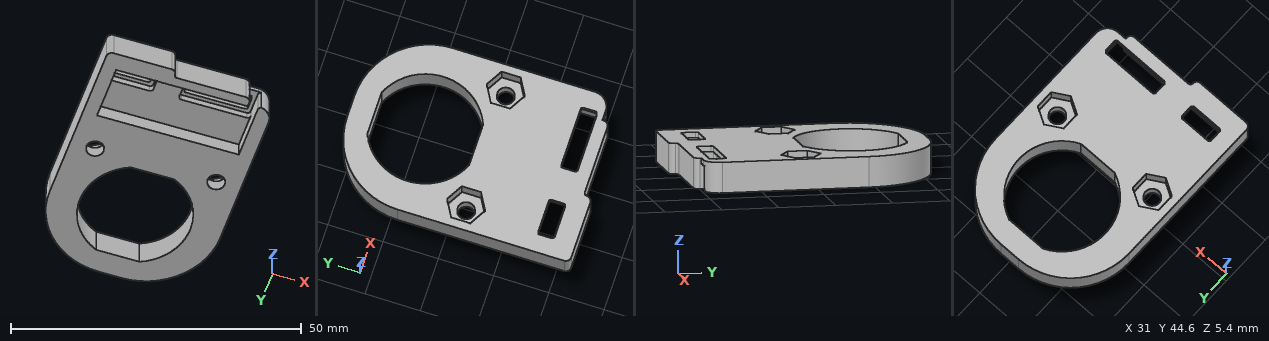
import cadquery as cq

width = 31.0
length = 44.65
height = 5.4
skin = 1.0
middle_x = width / 2

crown_radius = 13.5
front_corner_radius = 1.0
foot_right = 12.5
step_depth = 1.47
step_inner_radius = step_depth - front_corner_radius
step_right = 26.48
notch_depth = 2.7
right_corner_radius = 2.75

bore_diameter = 20.0
bore_flat_distance = 18.4
bore_y = length - crown_radius

nut_spacing = 22.0
nut_y = 20.2
nut_across_flats = 6.0
nut_depth = 3.0
screw_diameter = 3.1

slot_front = 3.95
slot_back = 6.88
slot_spans = [(3.25, 9.9), (16.07, 27.6)]
slot_corner_radius = 0.4
pocket_margin = 0.7
pocket_corner_radius = 0.55
hollow_ceiling = height - 2.4
hollow_back = 13.4
hollow_left = slot_spans[0][0] - pocket_margin
hollow_right = slot_spans[1][1] + pocket_margin
hollow_front = slot_front - pocket_margin
gate_corner_radius = 0.7


def block(left, right, front, back, bottom, top):
    """Box given by its limits along each axis."""
    return cq.Workplane("XY").box(right - left, back - front, top - bottom, centered=False).translate(
        (left, front, bottom)
    )


def rounded_block(limits, radius):
    return block(*limits).edges("|Z").fillet(radius)


def make_plate():
    """Domed plate with a stepped front edge."""
    return (
        cq.Workplane("XY")
        .moveTo(front_corner_radius, 0)
        .lineTo(foot_right - front_corner_radius, 0)
        .radiusArc((foot_right, front_corner_radius), -front_corner_radius)
        .radiusArc((foot_right + step_inner_radius, step_depth), step_inner_radius)
        .lineTo(step_right - front_corner_radius, step_depth)
        .radiusArc((step_right, step_depth + front_corner_radius), -front_corner_radius)
        .lineTo(step_right, notch_depth)
        .lineTo(width - right_corner_radius, notch_depth)
        .radiusArc((width, notch_depth + right_corner_radius), -right_corner_radius)
        .lineTo(width, bore_y)
        .radiusArc((width - crown_radius, length), -crown_radius)
        .lineTo(crown_radius, length)
        .radiusArc((0, bore_y), -crown_radius)
        .lineTo(0, front_corner_radius)
        .radiusArc((front_corner_radius, 0), -front_corner_radius)
        .close()
        .extrude(height)
    )


def make_bore():
    cylinder = cq.Workplane("XY").circle(bore_diameter / 2).extrude(height)
    flats = cq.Workplane("XY").rect(bore_diameter, bore_flat_distance).extrude(height)
    return cylinder.intersect(flats).translate((middle_x, bore_y, 0))


def make_nut_seat(x):
    """Hexagonal recess, two flats facing X, with a screw hole below."""
    hole = cq.Workplane("XY").circle(screw_diameter / 2).extrude(height)
    recess = (
        cq.Workplane("XY")
        .workplane(offset=height - nut_depth)
        .polygon(6, nut_across_flats, circumscribed=True)
        .extrude(nut_depth)
    )
    return hole.union(recess).translate((x, nut_y, 0))


def make_slot(left, right):
    slot = rounded_block((left, right, slot_front, slot_back, 0, height), slot_corner_radius)
    pocket = rounded_block(
        (
            left - pocket_margin,
            right + pocket_margin,
            slot_front - pocket_margin,
            slot_back + pocket_margin,
            0,
            height - skin,
        ),
        pocket_corner_radius,
    )
    return slot.union(pocket)


def make_hollow():
    return block(hollow_left, hollow_right, hollow_front, hollow_back, 0, hollow_ceiling)


def make_gate():
    """Opening under the skin from the notch into the hollow, flared by a round on its right."""
    gate_back = (slot_front + slot_back) / 2
    flare_x = hollow_right + gate_corner_radius
    flare_y = notch_depth + gate_corner_radius
    return (
        cq.Workplane("XY")
        .moveTo(step_right, 0)
        .lineTo(flare_x, 0)
        .lineTo(flare_x, notch_depth)
        .radiusArc((hollow_right, flare_y), gate_corner_radius)
        .lineTo(hollow_right, gate_back)
        .lineTo(step_right, gate_back)
        .close()
        .extrude(height - skin)
    )


result = make_plate().cut(make_bore())
for side in (-1, 1):
    result = result.cut(make_nut_seat(middle_x + side * nut_spacing / 2))
for slot_left, slot_right in slot_spans:
    result = result.cut(make_slot(slot_left, slot_right))
result = result.cut(make_hollow()).cut(make_gate())